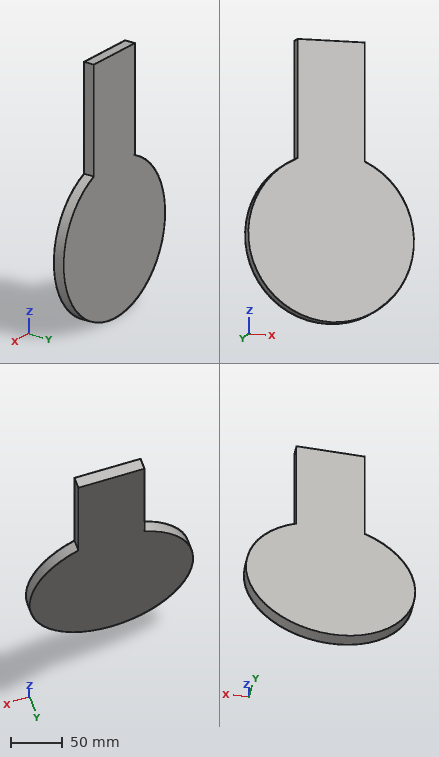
import cadquery as cq

total_height = 277.0
disc_diameter = 167.0
handle_width = 67.5
thickness = 12.0

disc_radius = disc_diameter / 2
handle_length = total_height - disc_radius


def plate():
    """Workplane in XZ at the disc centre, extruding towards -Y."""
    return cq.Workplane("XZ", origin=(0, thickness / 2, disc_radius))


disc = plate().circle(disc_radius).extrude(thickness)
handle = plate().rect(handle_width, handle_length, centered=(True, False)).extrude(thickness)

result = disc.union(handle)